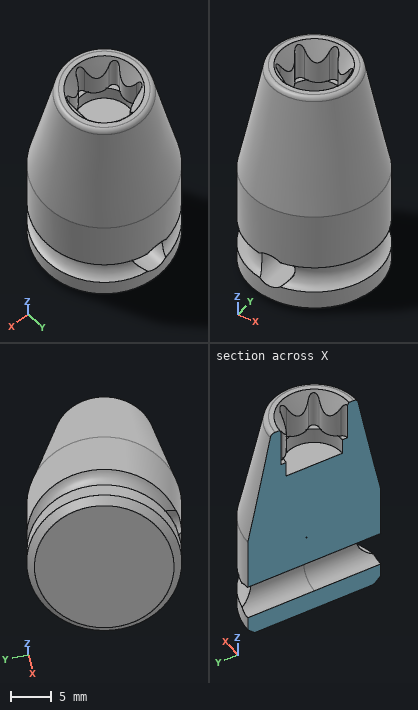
import cadquery as cq
import math

height = 32.0
body_radius = 9.5
base_chamfer = 0.95
taper_start = 15.6
nose_radius = 6.18
nose_fillet = 0.7

groove_center = 5.47
groove_width = 3.9
groove_depth = 1.55
pin_center = 5.5
pin_radius = 2.5

lobe_count = 6
lobe_tip_radius = 4.7
rib_inner_radius = 3.42
tip_round = 0.7
socket_floor = 26.25

mouth_radius = 4.93
mouth_slope = math.tan(math.radians(60))
relief_radius = 4.0
relief_floor = 24.0


def polar(radius, angle):
    return radius * math.cos(angle), radius * math.sin(angle)


def make_body():
    """Revolve the outer profile, including the rounded retaining groove."""
    groove_bottom = groove_center - groove_width / 2
    groove_top = groove_center + groove_width / 2
    body = (
        cq.Workplane("XZ")
        .lineTo(body_radius - base_chamfer, 0)
        .lineTo(body_radius, base_chamfer)
        .lineTo(body_radius, groove_bottom)
        .threePointArc((body_radius - groove_depth, groove_center), (body_radius, groove_top))
        .lineTo(body_radius, taper_start)
        .lineTo(nose_radius, height)
        .lineTo(0, height)
        .close()
        .revolve(360, (0, 0, 0), (0, 1, 0))
    )
    return body.faces(">Z").edges().fillet(nose_fillet)


def make_lobed_socket():
    """Build the star-shaped prism from tangent tip and rib arcs."""
    half_pitch = math.pi / lobe_count
    tip_center = lobe_tip_radius - tip_round
    cos_half = math.cos(half_pitch)

    rib_radius = (
        (tip_center**2 + rib_inner_radius**2 - 2 * tip_center * rib_inner_radius * cos_half - tip_round**2)
        / (2 * (tip_round + tip_center * cos_half - rib_inner_radius))
    )
    rib_center = rib_inner_radius + rib_radius

    rib_x, rib_y = polar(rib_center, half_pitch)
    share = tip_round / (tip_round + rib_radius)
    tangent_x = tip_center + share * (rib_x - tip_center)
    tangent_y = share * rib_y
    tangent_radius = math.hypot(tangent_x, tangent_y)
    tangent_angle = math.atan2(tangent_y, tangent_x)

    first_axis = math.pi / 2
    outline = cq.Workplane("XY").workplane(offset=socket_floor)
    outline = outline.moveTo(*polar(tangent_radius, first_axis - tangent_angle))
    for lobe in range(lobe_count):
        axis = first_axis + 2 * half_pitch * lobe
        next_axis = axis + 2 * half_pitch
        outline = outline.threePointArc(
            polar(lobe_tip_radius, axis),
            polar(tangent_radius, axis + tangent_angle),
        )
        outline = outline.threePointArc(
            polar(rib_inner_radius, axis + half_pitch),
            polar(tangent_radius, next_axis - tangent_angle),
        )
    return outline.close().extrude(height - socket_floor)


def make_mouth():
    """Cone that leads into the lobed socket and ends where it meets the ribs."""
    mouth_depth = (mouth_radius - rib_inner_radius) * mouth_slope
    return (
        cq.Workplane("XZ")
        .moveTo(0, height)
        .lineTo(mouth_radius, height)
        .lineTo(rib_inner_radius, height - mouth_depth)
        .lineTo(0, height - mouth_depth)
        .close()
        .revolve(360, (0, 0, 0), (0, 1, 0))
    )


def make_relief():
    """Round blind pocket that continues below the lobed socket."""
    return (
        cq.Workplane("XY")
        .workplane(offset=relief_floor)
        .circle(relief_radius)
        .extrude(socket_floor - relief_floor)
    )


def make_pin_hole():
    """Cross hole through the body along Y."""
    return (
        cq.Workplane("XZ")
        .center(0, pin_center)
        .circle(pin_radius)
        .extrude(body_radius, both=True)
    )


result = (
    make_body()
    .cut(make_lobed_socket())
    .cut(make_mouth())
    .cut(make_relief())
    .cut(make_pin_hole())
)